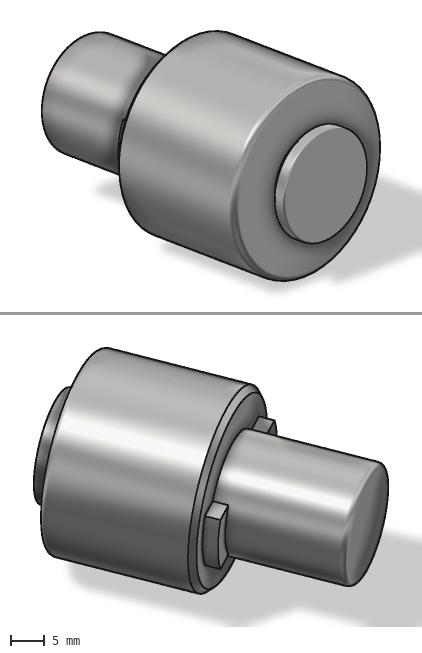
import cadquery as cq

total_length = 49.5
tab_start = 19.0
body_start = 21.5
body_end = 46.0
flange_start = 47.4

shaft_diameter = 19.0
body_diameter = 32.0
neck_diameter = 14.55
flange_diameter = 18.0
tab_diameter = 25.05
tab_width = 10.0

main_edge = 1.0
flange_edge = 0.3


def cylinder(start, end, diameter):
    """Solid cylinder about the X axis between two axial positions."""
    return cq.Workplane("YZ", origin=(start, 0, 0)).circle(diameter / 2).extrude(end - start)


shaft = cylinder(0, body_start, shaft_diameter).faces("<X").edges().fillet(main_edge)

body = cylinder(body_start, body_end, body_diameter)
body = body.faces("<X").edges().chamfer(main_edge)
body = body.faces(">X").edges().fillet(main_edge)

tab_band = cq.Workplane("XY").box(total_length, tab_diameter, tab_width)
tabs = cylinder(tab_start, body_start, tab_diameter).intersect(tab_band)

neck = cylinder(body_end, flange_start, neck_diameter)
flange = cylinder(flange_start, total_length, flange_diameter)
flange = flange.faces("<X or >X").edges().fillet(flange_edge)
inner_corner = cq.selectors.RadiusNthSelector(0)
end_fitting = neck.union(flange).faces("|X").faces("<X[-2]").edges(inner_corner).fillet(flange_edge)

result = shaft.union(body).union(tabs).union(end_fitting)